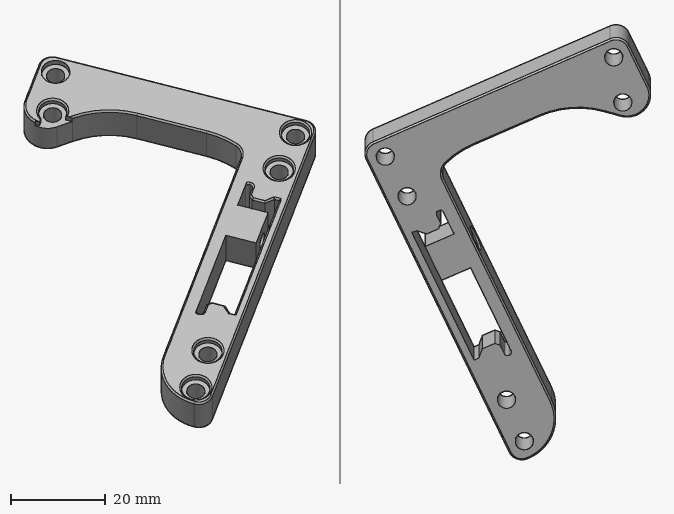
import cadquery as cq
import math

LENGTH_X = 61.0
LENGTH_Y = 78.0
THICKNESS = 9.0
EDGE_CHAMFER = 0.4

CORNER_RADIUS = 3.0
LEG_LEFT = 48.0
LEG_END_RADIUS = 9.9
FOOT_CENTER_Y = 65.1
FOOT_RADIUS = 5.0
FOOT_SLOPE = math.radians(41)
ARCH_Y = 68.5
ARCH_LEFT = 23.7
ARCH_RIGHT = 39.1
ARCH_END_X = 46.0
INNER_CORNER_RADIUS = 3.1

HOLE_DIAMETER = 3.8
BORE_DIAMETER = 6.0
BORE_DEPTH = 1.4
RIM_CHAMFER = 0.4
CORNER_INSET = 4.0
SECOND_HOLE_INSET = 14.0
LEG_HOLE_X = 56.55
FOOT_HOLE_X = 6.5
FOOT_OPENING_LEFT = 4.7
FOOT_OPENING_TOP = 63.65
FOOT_STEP_LEFT = 3.75
FOOT_STEP_TOP = 60.5

SLOT_CENTER_Y = 40.55
SLOT_LEFT = 51.1
SLOT_RIGHT = 59.05
FINGER_WIDTH = 1.55
FINGER_END = 17.8
FINGER_RADIUS = 0.7
SLOT_END = 15.7
TOOTH_END = 14.1
TOOTH_RIGHT = 56.4
TOOTH_CHAMFER = 0.85

TAB_RIGHT = 57.8
TAB_BOTTOM = 43.9
TAB_TOP = 52.25
CROSS_HOLE_DIAMETER = 3.2
CROSS_BORE_DIAMETER = 4.7
CROSS_BORE_DEPTH = 6.25
CROSS_CHAMFER = 0.4


def on_circle(center, radius, angle):
    """Point on a circle at an angle in radians."""
    return (center[0] + radius * math.cos(angle), center[1] + radius * math.sin(angle))


def make_plate():
    """L-shaped plate with chamfered top and bottom edges."""
    down = -math.pi / 2
    up = math.pi / 2

    foot_center = (FOOT_RADIUS, FOOT_CENTER_Y)
    run = ARCH_LEFT - FOOT_RADIUS
    rise = ARCH_Y - FOOT_CENTER_Y
    slack = run * math.sin(FOOT_SLOPE) - rise * math.cos(FOOT_SLOPE) - FOOT_RADIUS
    arch_radius = slack / (1 - math.cos(FOOT_SLOPE))
    left_center = (ARCH_LEFT, ARCH_Y - arch_radius)
    right_center = (ARCH_RIGHT, ARCH_Y - arch_radius)

    arch_end_angle = math.acos((ARCH_END_X - ARCH_RIGHT) / arch_radius)
    arch_end = on_circle(right_center, arch_radius, arch_end_angle)
    inner_center = (
        LEG_LEFT - INNER_CORNER_RADIUS,
        arch_end[1] - INNER_CORNER_RADIUS * math.sin(arch_end_angle),
    )

    outline = (
        cq.Workplane("XY")
        .moveTo(0, LENGTH_Y)
        .lineTo(0, FOOT_CENTER_Y)
        .threePointArc(
            on_circle(foot_center, FOOT_RADIUS, down),
            on_circle(foot_center, FOOT_RADIUS, down + FOOT_SLOPE),
        )
        .lineTo(*on_circle(left_center, arch_radius, up + FOOT_SLOPE))
        .threePointArc(
            on_circle(left_center, arch_radius, up + FOOT_SLOPE / 2),
            (ARCH_LEFT, ARCH_Y),
        )
        .lineTo(ARCH_RIGHT, ARCH_Y)
        .threePointArc(
            on_circle(right_center, arch_radius, (up + arch_end_angle) / 2),
            arch_end,
        )
        .threePointArc(
            on_circle(inner_center, INNER_CORNER_RADIUS, arch_end_angle / 2),
            (LEG_LEFT, inner_center[1]),
        )
        .lineTo(LEG_LEFT, 0)
        .lineTo(LENGTH_X, 0)
        .lineTo(LENGTH_X, LENGTH_Y)
        .close()
    )
    plate = outline.extrude(THICKNESS)
    middle = THICKNESS / 2
    for x, y, radius in (
        (0, LENGTH_Y, CORNER_RADIUS),
        (LENGTH_X, LENGTH_Y, CORNER_RADIUS),
        (LENGTH_X, 0, CORNER_RADIUS),
        (LEG_LEFT, 0, LEG_END_RADIUS),
    ):
        corner = cq.selectors.NearestToPointSelector((x, y, middle))
        plate = plate.edges("|Z").edges(corner).fillet(radius)
    return plate.faces("<Z or >Z").edges().chamfer(EDGE_CHAMFER)


def screw_hole(x, y, rim_chamfer):
    """Cutter for a through hole with a counterbore and a chamfered rim."""
    floor = THICKNESS - BORE_DEPTH
    cutter = cq.Workplane("XY").center(x, y).circle(HOLE_DIAMETER / 2).extrude(THICKNESS)
    bore = cq.Workplane("XY", origin=(x, y, floor)).circle(BORE_DIAMETER / 2).extrude(BORE_DEPTH)
    cutter = cutter.union(bore)
    if rim_chamfer:
        rim = (
            cq.Workplane("XY", origin=(x, y, THICKNESS - rim_chamfer))
            .circle(BORE_DIAMETER / 2)
            .extrude(rim_chamfer, taper=-45)
        )
        cutter = cutter.union(rim)
    return cutter


def slot_cutter():
    """Slot with a hooked recess at each end; its top rim is chamfered except on the left wall."""
    finger_right = SLOT_LEFT + FINGER_WIDTH
    bevel_right = TOOTH_RIGHT + SLOT_END - TOOTH_END
    upper_half = [
        (SLOT_LEFT, FINGER_END),
        (finger_right, FINGER_END),
        (finger_right, TOOTH_END + TOOTH_CHAMFER),
        (finger_right + TOOTH_CHAMFER, TOOTH_END),
        (TOOTH_RIGHT, TOOTH_END),
        (bevel_right, SLOT_END),
        (SLOT_RIGHT, SLOT_END),
    ]
    lower_half = [(x, -y) for x, y in reversed(upper_half)]

    def rounded_slot(height):
        base = cq.Workplane("XY", origin=(0, SLOT_CENTER_Y, 0))
        slot = base.polyline(upper_half + lower_half).close().extrude(height)
        for side in (1, -1):
            finger_y = SLOT_CENTER_Y + side * FINGER_END
            for x in (SLOT_LEFT, finger_right):
                corner = cq.selectors.NearestToPointSelector((x, finger_y, height / 2))
                slot = slot.edges("|Z").edges(corner).fillet(FINGER_RADIUS)
        return slot

    slot = rounded_slot(THICKNESS)
    rim = (
        rounded_slot(THICKNESS - EDGE_CHAMFER)
        .faces(">Z")
        .wires()
        .toPending()
        .workplane()
        .extrude(EDGE_CHAMFER, taper=-45, combine=False)
    )
    right_of_wall = (
        cq.Workplane("XY", origin=(SLOT_LEFT, 0, 0))
        .box(LENGTH_X - SLOT_LEFT, LENGTH_Y, THICKNESS, centered=False)
    )
    return slot.union(rim).intersect(right_of_wall)


def make_tab():
    """Full-height block reaching into the slot from its left wall."""
    return (
        cq.Workplane("XY", origin=(SLOT_LEFT, TAB_BOTTOM, 0))
        .box(TAB_RIGHT - SLOT_LEFT, TAB_TOP - TAB_BOTTOM, THICKNESS, centered=False)
    )


def cross_hole():
    """Stepped hole along X from the inner side of the leg through the tab."""
    start = cq.Workplane(
        "YZ", origin=(LEG_LEFT, (TAB_BOTTOM + TAB_TOP) / 2, THICKNESS / 2)
    )
    hole = start.circle(CROSS_HOLE_DIAMETER / 2).extrude(TAB_RIGHT - LEG_LEFT)
    bore = start.circle(CROSS_BORE_DIAMETER / 2).extrude(CROSS_BORE_DEPTH)
    mouth = start.circle(CROSS_BORE_DIAMETER / 2 + CROSS_CHAMFER).extrude(CROSS_CHAMFER, taper=45)
    return hole.union(bore).union(mouth)


def foot_opening():
    """Opens the foot counterbore through the thin rim, with a small step at the left end."""
    opening = cq.Workplane("XY")
    for left, top in (
        (FOOT_OPENING_LEFT, FOOT_OPENING_TOP),
        (FOOT_STEP_LEFT, FOOT_STEP_TOP),
    ):
        block = (
            cq.Workplane("XY", origin=(left, 0, THICKNESS - BORE_DEPTH))
            .box(ARCH_LEFT - left, top, BORE_DEPTH, centered=False)
        )
        opening = opening.union(block)
    return opening


right_column = LENGTH_X - CORNER_INSET
upper_row = LENGTH_Y - CORNER_INSET
second_row = LENGTH_Y - SECOND_HOLE_INSET

result = make_plate().cut(slot_cutter()).union(make_tab()).cut(cross_hole())
result = result.cut(screw_hole(CORNER_INSET, upper_row, 0))
for hole_x, hole_y in (
    (right_column, upper_row),
    (right_column, CORNER_INSET),
    (LEG_HOLE_X, second_row),
    (LEG_HOLE_X, SECOND_HOLE_INSET),
    (FOOT_HOLE_X, second_row),
):
    result = result.cut(screw_hole(hole_x, hole_y, RIM_CHAMFER))
result = result.cut(foot_opening())